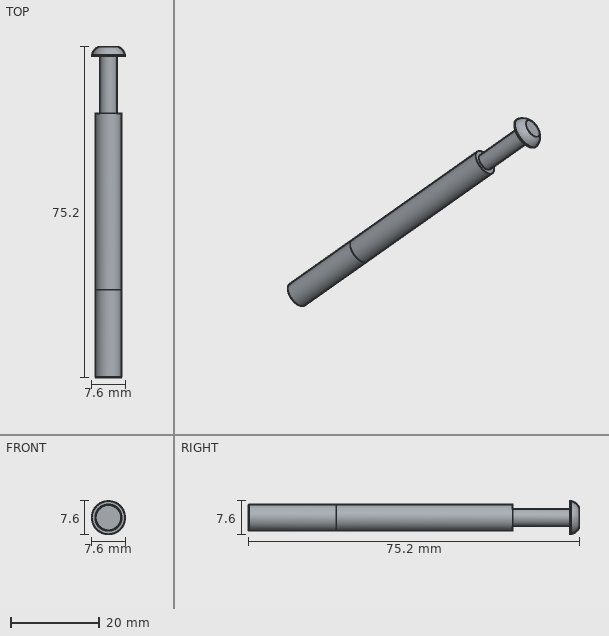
import cadquery as cq

total_length = 75.2
front_y = -total_length / 2
back_y = total_length / 2

barrel_diameter = 6.0
rod_length = 20.0
rod_chamfer = 0.15

barrel_length = 2 * rod_length

shank_diameter = 4.0
head_diameter = 7.6
head_flat_diameter = 4.35
head_height = 2.2
rim_height = 0.3
dome_bulge = 0.3

rod_end_y = front_y + rod_length
barrel_end_y = rod_end_y + barrel_length
head_base_y = back_y - head_height


def cylinder_along_y(diameter, start_y, end_y):
    """Solid cylinder on the Y axis from start_y to end_y."""
    plane = cq.Plane(origin=(0, start_y, 0), xDir=(1, 0, 0), normal=(0, 1, 0))
    return cq.Workplane(plane).circle(diameter / 2).extrude(end_y - start_y)


def make_end_rod():
    """Rod with a small chamfer around its free end."""
    rod = cylinder_along_y(barrel_diameter, front_y, rod_end_y)
    return rod.faces("<Y").chamfer(rod_chamfer)


def make_barrel():
    """Plain cylinder butting against the end rod and the screw shank."""
    return cylinder_along_y(barrel_diameter, rod_end_y, barrel_end_y)


def make_screw_head():
    """Domed head with a narrow straight rim and a flat top."""
    rim_radius = head_diameter / 2
    flat_radius = head_flat_diameter / 2
    rim_top_y = head_base_y + rim_height

    chord = cq.Vector(flat_radius - rim_radius, back_y - rim_top_y, 0)
    chord_middle = cq.Vector((rim_radius + flat_radius) / 2, (rim_top_y + back_y) / 2, 0)
    outward = cq.Vector(chord.y, -chord.x, 0).normalized()
    dome_middle = chord_middle + outward * dome_bulge

    return (
        cq.Workplane("XY")
        .moveTo(0, head_base_y)
        .lineTo(rim_radius, head_base_y)
        .lineTo(rim_radius, rim_top_y)
        .threePointArc((dome_middle.x, dome_middle.y), (flat_radius, back_y))
        .lineTo(0, back_y)
        .close()
        .revolve(360, (0, 0, 0), (0, 1, 0))
    )


def make_screw():
    """Button head and round shank as one body; the shank ends on the barrel."""
    shank = cylinder_along_y(shank_diameter, barrel_end_y, head_base_y)
    return make_screw_head().union(shank)


end_rod = make_end_rod()
barrel = make_barrel()
screw = make_screw()

result = cq.Compound.makeCompound([end_rod.val(), barrel.val(), screw.val()])